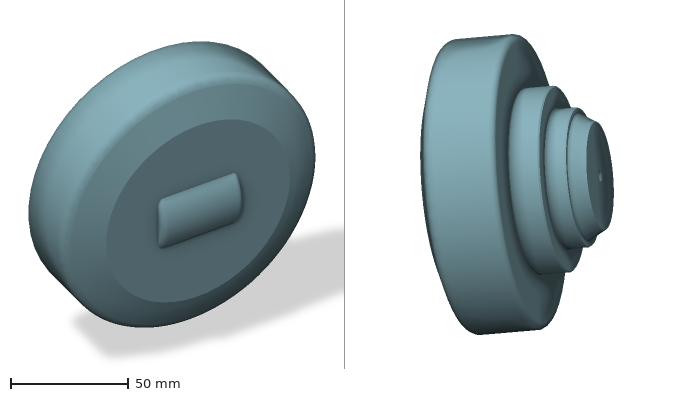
import cadquery as cq
import math

cone_end = 7.2
hub_end = 16.5
collar_end = 30.2
wheel_end = 67.3
overall_length = 72.3

cone_base_diameter = 54.8
hub_diameter = 60.0
collar_diameter = 80.0
wheel_diameter = 126.8
wheel_face_diameter = 91.3

cone_half_angle = 30.0
hub_bevel_length = 0.8
hub_bevel_height = 0.4
collar_chamfer = 0.6
wheel_front_fillet = 3.0
wheel_rear_fillet = 5.0
rear_taper_angle = 20.0

centre_hole_diameter = 5.0
centre_hole_depth = 5.1

key_radius = 20.7
key_length = 40.0
key_edge_fillet = 2.8


def disc(start, end, diameter):
    """Cylinder about the X axis between two stations."""
    return cq.Workplane("YZ", origin=(start, 0, 0)).circle(diameter / 2).extrude(end - start)


def revolve_about_x(outline):
    """Solid of revolution from (station, radius) points."""
    return cq.Workplane("XY").polyline(outline).close().revolve(360, (0, 0, 0), (1, 0, 0))


def cone():
    base_radius = cone_base_diameter / 2
    tip_radius = base_radius - cone_end * math.tan(math.radians(cone_half_angle))
    outline = [(0, 0), (0, tip_radius), (cone_end, base_radius), (cone_end, 0)]
    return revolve_about_x(outline)


def hub():
    """Cylinder with a bevelled front edge and a small flare where it meets the collar."""
    radius = hub_diameter / 2
    outline = [
        (cone_end, 0),
        (cone_end, radius - hub_bevel_height),
        (cone_end + hub_bevel_length, radius),
        (hub_end - hub_bevel_length, radius),
        (hub_end, radius + hub_bevel_height),
        (hub_end, 0),
    ]
    return revolve_about_x(outline)


def collar():
    return disc(hub_end, collar_end, collar_diameter).edges().chamfer(collar_chamfer)


def wheel():
    rim_radius = wheel_diameter / 2
    face_radius = wheel_face_diameter / 2
    taper_length = (rim_radius - face_radius) * math.tan(math.radians(rear_taper_angle))
    taper_start = wheel_end - taper_length
    outline = [
        (collar_end, 0),
        (collar_end, rim_radius),
        (taper_start, rim_radius),
        (wheel_end, face_radius),
        (wheel_end, 0),
    ]
    body = revolve_about_x(outline)
    rim_circles = cq.selectors.RadiusNthSelector(-1)
    body = body.edges(rim_circles).edges(">X").fillet(wheel_rear_fillet)
    return body.faces("<X").edges().fillet(wheel_front_fillet)


def key():
    """Segment of a disc lying along Y, with rounded end edges."""
    centre_x = overall_length - key_radius
    round_bar = (
        cq.Workplane("XZ", origin=(centre_x, key_length / 2, 0))
        .circle(key_radius)
        .extrude(key_length)
        .edges("%CIRCLE")
        .fillet(key_edge_fillet)
    )
    return round_bar.intersect(disc(wheel_end, overall_length, wheel_diameter))


centre_hole = disc(0, centre_hole_depth, centre_hole_diameter)
result = cone().union(hub()).union(collar()).union(wheel()).union(key()).cut(centre_hole)